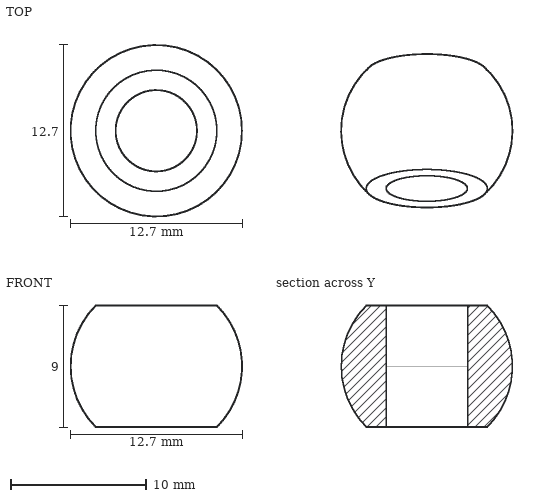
import cadquery as cq

ball_diameter = 12.7
ball_height = 9.0
bore_diameter = 6.0


def make_ball():
    """Sphere cut flat and parallel at top and bottom, centred on the origin."""
    sphere = cq.Workplane("XY").sphere(ball_diameter / 2)
    flat_limits = cq.Workplane("XY").box(ball_diameter * 2, ball_diameter * 2, ball_height)
    return sphere.intersect(flat_limits)


def make_bore():
    """Cylinder along Z that passes right through the ball."""
    return cq.Workplane("XY").circle(bore_diameter / 2).extrude(ball_height, both=True)


result = make_ball().cut(make_bore())